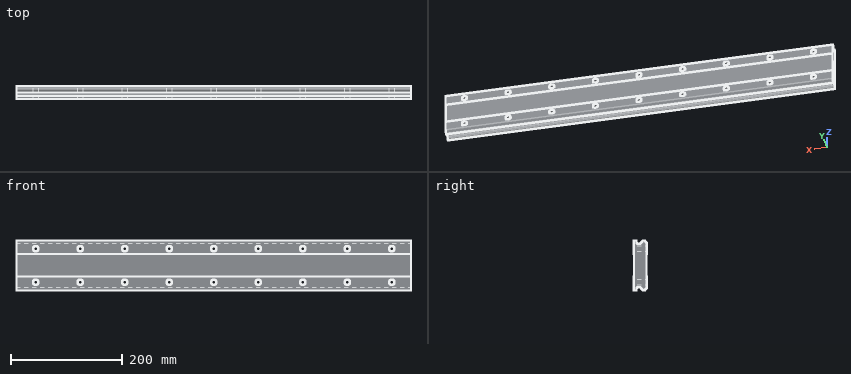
import cadquery as cq

length = 710.0
thickness = 24.0
width = 90.0

lip_thickness = 6.0
lip_rounding = 1.0
groove_depth = 6.0
groove_corner = 1.5
groove_floor_end = 12.0
crest_start = 17.0
crest_end = 20.0
crest_rounding = 1.1
back_bevel_height = 5.0
back_rounding = 1.1

recess_width = 40.5
recess_depth = 1.0

hole_diameter = 9.0
hole_row_spacing = 60.0
holes_per_row = 9
hole_end_margin = 35.0
hole_pitch = (length - 2 * hole_end_margin) / (holes_per_row - 1)

front = -thickness / 2
back = thickness / 2
crest = width / 2
groove_floor = crest - groove_depth
lip_back = front + lip_thickness

selection_reach = 0.35


def sharp_rail():
    """Extrude the cross-section, symmetric about Z = 0, along X with sharp edges."""
    recess_edge = recess_width / 2
    upper_half = [
        (front + recess_depth, recess_edge),
        (front, recess_edge),
        (front, crest),
        (lip_back, crest),
        (lip_back, groove_floor),
        (front + groove_floor_end, groove_floor),
        (front + crest_start, crest),
        (front + crest_end, crest),
        (back, crest - back_bevel_height),
        (back, recess_edge),
        (back - recess_depth, recess_edge),
    ]
    lower_half = [(y, -z) for y, z in reversed(upper_half)]
    return (
        cq.Workplane("YZ", origin=(-length / 2, 0, 0))
        .polyline(upper_half + lower_half)
        .close()
        .extrude(length)
    )


def round_long_edges(rail, y, z, radius):
    """Fillet the two edges along X that pass through (y, z) and (y, -z)."""
    for side in (1, -1):
        near_edge = cq.selectors.BoxSelector(
            (-length, y - selection_reach, side * z - selection_reach),
            (length, y + selection_reach, side * z + selection_reach),
        )
        rail = rail.edges("|X").edges(near_edge).fillet(radius)
    return rail


def mounting_holes():
    """Cylinders crossing the full thickness at every hole position."""
    return (
        cq.Workplane("XZ", origin=(0, back, 0))
        .rarray(hole_pitch, hole_row_spacing, holes_per_row, 2)
        .circle(hole_diameter / 2)
        .extrude(thickness)
    )


body = sharp_rail()
for y, z, radius in (
    (front, crest, lip_rounding),
    (lip_back, crest, lip_rounding),
    (lip_back, groove_floor, groove_corner),
    (front + crest_start, crest, crest_rounding),
    (front + crest_end, crest, crest_rounding),
    (back, crest - back_bevel_height, back_rounding),
):
    body = round_long_edges(body, y, z, radius)

result = body.cut(mounting_holes())